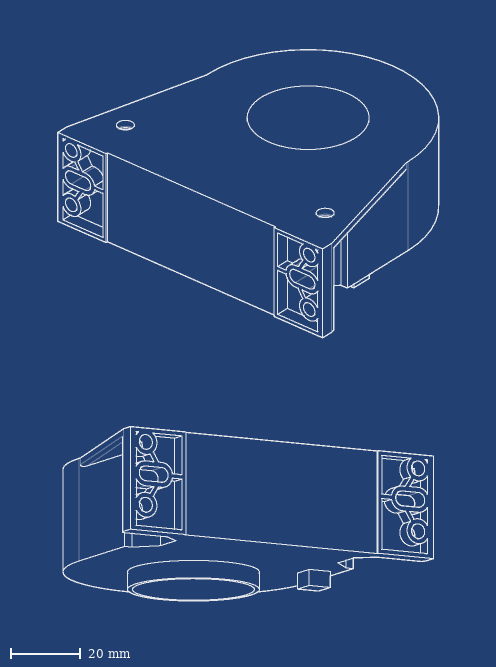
import cadquery as cq
import math

WIDTH = 99.5
DEPTH = 90.0
BODY_HEIGHT = 29.9
BOSS_HEIGHT = 5.1

BODY_RADIUS = 37.5
BORE_Y = DEPTH - BODY_RADIUS
BORE_DIA = 35.0
BOSS_DIA = 37.9

FLANK_FRONT_Y = 4.0
FLANK_REAR_Y = 51.7

PLATE_THICKNESS = 3.0
CEILING_Z = BODY_HEIGHT - PLATE_THICKNESS
FLANGE_THICKNESS = 6.0
BAY_SHOULDER_Y = 25.5
BAY_SHOULDER_X = 35.1
BAY_INNER_X = 29.2
BAY_INNER_FRONT_Y = 10.2
BAY_FOOT_X = 34.4
EDGE_ROUND = 1.0

PAD_WIDTH = 18.2
FRONT_RECESS = 0.6

POCKET_OUTER_WALL = 2.0
RIB = 1.3
POCKET_DEPTH = 4.3
COLLAR_WALL = 1.5

SCREW_DIA = 4.3
SCREW_EDGE_DISTANCE = 5.1
SCREW_X = WIDTH / 2 - SCREW_EDGE_DISTANCE
SLOT_TRAVEL = 5.2
SCREW_PITCH_Z = 9.2
SLOT_BELOW_TOP = 13.2
SLOT_Z = BODY_HEIGHT - SLOT_BELOW_TOP
BRACE_REACH = 5.8

PLATE_HOLE_DIA = 5.2
PLATE_HOLE_X = BODY_RADIUS
PLATE_HOLE_Y = 15.6

BLOCK_SIZE = 7.0
BLOCK_X = 27.0
BLOCK_Y = 32.6
BLOCK_HEIGHT = 4.7


def both_sides(right_part):
    """Join a shape on the +X side with its mirror image on the -X side."""
    return right_part.union(right_part.mirror("YZ"))


def front_solid(sketch, depth):
    """Extrude a front-facing (XZ) sketch from the front face back to Y = depth."""
    return sketch.extrude(-depth)


def outline_solid():
    half = WIDTH / 2
    return (
        cq.Workplane("XY")
        .moveTo(-half, 0)
        .lineTo(half, 0)
        .lineTo(half, FLANK_FRONT_Y)
        .lineTo(BODY_RADIUS, FLANK_REAR_Y)
        .lineTo(BODY_RADIUS, BORE_Y)
        .threePointArc((0, DEPTH), (-BODY_RADIUS, BORE_Y))
        .lineTo(-BODY_RADIUS, FLANK_REAR_Y)
        .lineTo(-half, FLANK_FRONT_Y)
        .close()
        .extrude(BODY_HEIGHT)
    )


def side_bay():
    """Open space on the +X side, below the top plate and behind the flange."""
    return (
        cq.Workplane("XY")
        .moveTo(WIDTH, FLANGE_THICKNESS)
        .lineTo(BAY_FOOT_X, FLANGE_THICKNESS)
        .lineTo(BAY_INNER_X, BAY_INNER_FRONT_Y)
        .lineTo(BAY_INNER_X, BAY_SHOULDER_Y - (BAY_SHOULDER_X - BAY_INNER_X))
        .lineTo(BAY_SHOULDER_X, BAY_SHOULDER_Y)
        .lineTo(BODY_RADIUS, BAY_SHOULDER_Y)
        .lineTo(BODY_RADIUS, FLANK_REAR_Y)
        .lineTo(WIDTH, FLANK_REAR_Y)
        .close()
        .extrude(CEILING_Z)
    )


def screw_shapes(diameter, depth):
    """Two round studs and one long stud, on the screw and slot positions of the +X pad."""
    rounds = (
        cq.Workplane("XZ")
        .pushPoints([(SCREW_X, SLOT_Z + SCREW_PITCH_Z), (SCREW_X, SLOT_Z - SCREW_PITCH_Z)])
        .circle(diameter / 2)
    )
    slot = (
        cq.Workplane("XZ")
        .center(SCREW_X - SLOT_TRAVEL / 2, SLOT_Z)
        .slot2D(SLOT_TRAVEL + diameter, diameter)
    )
    return front_solid(rounds, depth).union(front_solid(slot, depth))


def brace(start, end):
    """Straight rib of the pocket between two (X, Z) points."""
    dx = end[0] - start[0]
    dz = end[1] - start[1]
    sketch = (
        cq.Workplane("XZ")
        .center((start[0] + end[0]) / 2, (start[1] + end[1]) / 2)
        .transformed(rotate=(0, 0, math.degrees(math.atan2(dz, dx))))
        .rect(math.hypot(dx, dz), RIB)
    )
    return front_solid(sketch, POCKET_DEPTH)


def pad_pocket():
    """Pocket of the +X mounting pad, with its collars and ribs left standing."""
    inner_x = WIDTH / 2 - PAD_WIDTH + RIB
    outer_x = WIDTH / 2 - POCKET_OUTER_WALL
    sketch = (
        cq.Workplane("XZ")
        .center((inner_x + outer_x) / 2, BODY_HEIGHT / 2)
        .rect(outer_x - inner_x, BODY_HEIGHT - 2 * RIB)
    )
    brace_foot = (SCREW_X - BRACE_REACH, SLOT_Z)
    pocket = front_solid(sketch, POCKET_DEPTH)
    pocket = pocket.cut(screw_shapes(SCREW_DIA + 2 * COLLAR_WALL, POCKET_DEPTH))
    pocket = pocket.cut(brace((inner_x, SLOT_Z), brace_foot))
    for side in (1, -1):
        pocket = pocket.cut(brace((SCREW_X, SLOT_Z + side * SCREW_PITCH_Z), brace_foot))
    return pocket


def round_edges(part, points):
    """Round the edges of the part that lie nearest to the given points."""
    edges = part.edges(cq.selectors.NearestToPointSelector(points[0]))
    for point in points[1:]:
        edges = edges.add(part.edges(cq.selectors.NearestToPointSelector(point)))
    return edges.fillet(EDGE_ROUND)


def screw_relief():
    """Rounded exit where the upper +X screw hole runs into the top plate underside."""
    rear_y = FLANGE_THICKNESS + EDGE_ROUND
    round_core = (
        cq.Workplane("YZ")
        .center(rear_y, CEILING_Z + EDGE_ROUND)
        .circle(EDGE_ROUND)
        .extrude(WIDTH)
    )
    exit_zone = (
        cq.Workplane("XY", origin=(0, 0, CEILING_Z))
        .rect(WIDTH, 2 * rear_y)
        .extrude(EDGE_ROUND)
    )
    return screw_shapes(SCREW_DIA, rear_y).intersect(exit_zone).cut(round_core)


body = outline_solid().cut(
    cq.Workplane("XY")
    .center(0, FRONT_RECESS / 2)
    .rect(WIDTH - 2 * PAD_WIDTH, FRONT_RECESS)
    .extrude(BODY_HEIGHT)
)

body = body.cut(both_sides(side_bay()))
flank_slope = (WIDTH / 2 - BODY_RADIUS) / (FLANK_REAR_Y - FLANK_FRONT_Y)
flange_edge_x = WIDTH / 2 - flank_slope * (FLANGE_THICKNESS - FLANK_FRONT_Y)
flank_mid_x = (BODY_RADIUS + flange_edge_x) / 2
flank_mid_y = (FLANK_REAR_Y + FLANGE_THICKNESS) / 2
for side in (1, -1):
    plate_edge = (side * flank_mid_x, flank_mid_y, CEILING_Z)
    flange_edge = (side * flange_edge_x, FLANGE_THICKNESS, CEILING_Z / 2)
    body = round_edges(body, [plate_edge, flange_edge])

plate_hole = (
    cq.Workplane("XY", origin=(PLATE_HOLE_X, PLATE_HOLE_Y, BODY_HEIGHT))
    .circle(PLATE_HOLE_DIA / 2)
    .extrude(-PLATE_THICKNESS)
)
body = body.cut(both_sides(plate_hole))
for side in (1, -1):
    body = round_edges(body, [(side * PLATE_HOLE_X, PLATE_HOLE_Y, CEILING_Z)])

for cutter in (pad_pocket(), screw_shapes(SCREW_DIA, FLANGE_THICKNESS), screw_relief()):
    body = body.cut(both_sides(cutter))

boss = cq.Workplane("XY").center(0, BORE_Y).circle(BOSS_DIA / 2).extrude(-BOSS_HEIGHT)
block = (
    cq.Workplane("XY")
    .moveTo(BLOCK_X, BLOCK_Y)
    .rect(BLOCK_SIZE, BLOCK_SIZE, centered=False)
    .extrude(-BLOCK_HEIGHT)
)
body = body.union(boss).union(block)

bore = (
    cq.Workplane("XY", origin=(0, BORE_Y, -BOSS_HEIGHT))
    .circle(BORE_DIA / 2)
    .extrude(BOSS_HEIGHT + BODY_HEIGHT)
)
result = body.cut(bore)